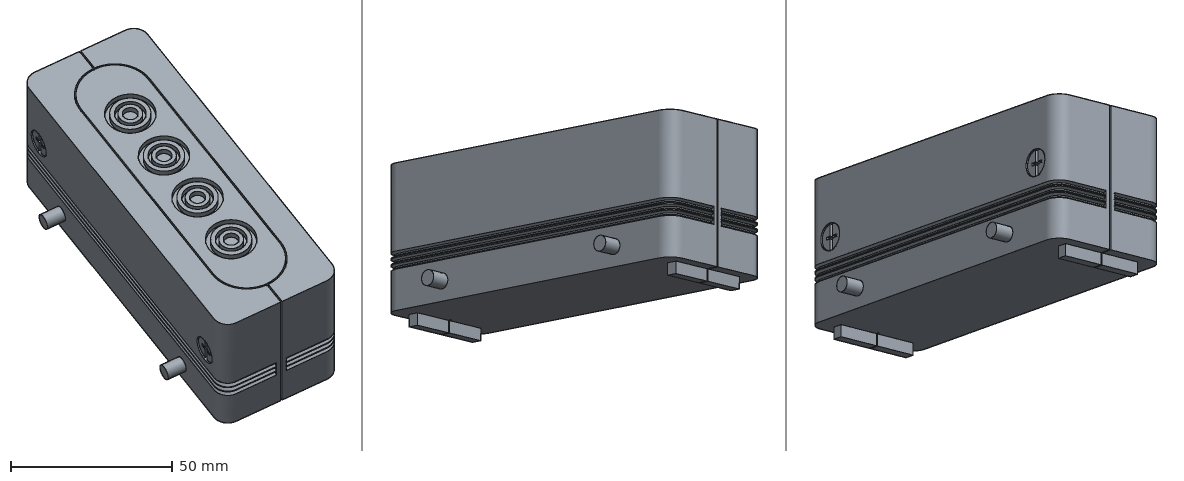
import cadquery as cq

LENGTH = 120.0
WIDTH = 43.0
HEIGHT = 47.0
CORNER_RADIUS = 5.0

TAB_LENGTH = 3.5
TAB_WIDTH = 29.3
TAB_HEIGHT = 4.0
TAB_END_INSET = 4.2

PEG_DIAMETER = 5.0
PEG_SPAN = 56.0
PEG_X = 36.0
PEG_Z = 6.5

SEAM_WIDTH = 0.5
SEAM_DEPTH = 8.4

GROOVE_COUNT = 3
GROOVE_PITCH = 2.0
GROOVE_MOUTH = 1.7
GROOVE_FLOOR = 0.5
GROOVE_DEPTH = 1.0
GROOVE_BAND_MIDDLE_Z = 16.1
GROOVE_END_Y = 1.8

INSERT_LENGTH = 102.6
INSERT_WIDTH = 24.1
INSERT_DEPTH = 7.2
INSERT_GAP = 0.5

ENTRY_COUNT = 4
ENTRY_PITCH = 20.0
OUTER_RING_DIAMETERS = (16.0, 12.8)
INNER_RING_DIAMETERS = (9.8, 7.7)
RING_DEPTH = 1.9
ENTRY_HOLE_DIAMETER = 4.9
ENTRY_HOLE_DEPTH = RING_DEPTH

SCREW_X = 49.5
SCREW_Z = 26.5
SCREW_HEAD_DIAMETER = 8.8
SCREW_HOLE_DIAMETER = 9.0
SCREW_HEAD_HEIGHT = 3.6
SCREW_RECESS = 0.5
SLOT_WIDTH = 1.1
CROSS_SLOT_LENGTH = 4.7
CROSS_SLOT_WIDTH = 0.8
SLOT_DEPTH = 1.0

FRONT_Y = -WIDTH / 2
ALIGN_BOTTOM = (True, True, False)


def rounded_block(inset, bottom_z, height):
    """Slab with the housing outline, its sides moved inwards by `inset`."""
    return (
        cq.Workplane("XY", origin=(0, 0, bottom_z))
        .rect(LENGTH - 2 * inset, WIDTH - 2 * inset)
        .extrude(height)
        .edges("|Z")
        .fillet(CORNER_RADIUS - inset)
    )


def tapered_core(first, second):
    """Loft between two outlines, each given as (inset, z)."""
    sketches = []
    for inset, z in (first, second):
        outline = cq.Sketch().rect(LENGTH - 2 * inset, WIDTH - 2 * inset)
        outline = outline.vertices().fillet(CORNER_RADIUS - inset)
        sketches.append(outline.moved(cq.Location(cq.Vector(0, 0, z))))
    return cq.Workplane("XY").placeSketch(*sketches).loft()


def groove_ring(middle_z):
    """Trapezoidal ring of material to remove for one groove."""
    mouth_bottom = middle_z - GROOVE_MOUTH / 2
    floor_bottom = middle_z - GROOVE_FLOOR / 2
    floor_top = middle_z + GROOVE_FLOOR / 2
    mouth_top = middle_z + GROOVE_MOUTH / 2
    core = (
        rounded_block(GROOVE_DEPTH, floor_bottom, GROOVE_FLOOR)
        .union(tapered_core((0, mouth_bottom), (GROOVE_DEPTH, floor_bottom)))
        .union(tapered_core((GROOVE_DEPTH, floor_top), (0, mouth_top)))
    )
    bridge = (
        cq.Workplane("XY", origin=(0, 0, middle_z))
        .box(LENGTH, 2 * GROOVE_END_Y, GROOVE_MOUTH)
    )
    return rounded_block(0, mouth_bottom, GROOVE_MOUTH).cut(core).cut(bridge)


def oval_block(gap):
    """Oval plug that ends at the top of the housing, widened all round by `gap`."""
    return (
        cq.Workplane("XY", origin=(0, 0, HEIGHT - INSERT_DEPTH))
        .slot2D(INSERT_LENGTH + 2 * gap, INSERT_WIDTH + 2 * gap)
        .extrude(INSERT_DEPTH)
    )


def screw_cylinder(x, diameter, start_y, depth):
    """Cylinder at a screw position, running from `start_y` into the housing."""
    return (
        cq.Workplane("XZ", origin=(x, start_y, SCREW_Z))
        .circle(diameter / 2)
        .extrude(-depth)
    )


def cut_seam(body):
    """Slit the middle plane on the top and on both ends, tabs included."""
    top_slit = (
        cq.Workplane("XY", origin=(0, 0, HEIGHT - SEAM_DEPTH))
        .box(LENGTH, SEAM_WIDTH, SEAM_DEPTH, centered=ALIGN_BOTTOM)
    )
    body = body.cut(top_slit)
    for side in (-1, 1):
        end_slit = (
            cq.Workplane("XY", origin=(side * (LENGTH - SEAM_DEPTH) / 2, 0, -TAB_HEIGHT))
            .box(SEAM_DEPTH, SEAM_WIDTH, TAB_HEIGHT + HEIGHT, centered=ALIGN_BOTTOM)
        )
        body = body.cut(end_slit)
    return body


def make_housing():
    body = rounded_block(0, 0, HEIGHT)
    tab_x = LENGTH / 2 - TAB_END_INSET - TAB_LENGTH / 2
    tabs = (
        cq.Workplane("XY")
        .pushPoints([(-tab_x, 0), (tab_x, 0)])
        .rect(TAB_LENGTH, TAB_WIDTH)
        .extrude(-TAB_HEIGHT)
    )
    pegs = (
        cq.Workplane("XZ")
        .pushPoints([(-PEG_X, PEG_Z), (PEG_X, PEG_Z)])
        .circle(PEG_DIAMETER / 2)
        .extrude(PEG_SPAN / 2, both=True)
    )
    body = body.union(tabs).union(pegs)
    for index in range(GROOVE_COUNT):
        offset = index - (GROOVE_COUNT - 1) / 2
        body = body.cut(groove_ring(GROOVE_BAND_MIDDLE_Z + offset * GROOVE_PITCH))
    body = cut_seam(body)
    body = body.cut(oval_block(INSERT_GAP))
    for x in (-SCREW_X, SCREW_X):
        hole = screw_cylinder(x, SCREW_HOLE_DIAMETER, FRONT_Y, SCREW_RECESS + SCREW_HEAD_HEIGHT)
        body = body.cut(hole)
    return body


def make_insert():
    body = oval_block(0)
    top = cq.Workplane("XY", origin=(0, 0, HEIGHT))
    entries = top.rarray(ENTRY_PITCH, 1.2, ENTRY_COUNT, 1)
    for outer, inner in (OUTER_RING_DIAMETERS, INNER_RING_DIAMETERS):
        body = body.cut(entries.circle(outer / 2).circle(inner / 2).extrude(-RING_DEPTH))
    return body.cut(entries.circle(ENTRY_HOLE_DIAMETER / 2).extrude(-ENTRY_HOLE_DEPTH))


def make_screw(x):
    face_y = FRONT_Y + SCREW_RECESS
    head = screw_cylinder(x, SCREW_HEAD_DIAMETER, face_y, SCREW_HEAD_HEIGHT)
    face = cq.Workplane("XZ", origin=(x, face_y, SCREW_Z))
    slot = face.rect(SLOT_WIDTH, SCREW_HEAD_DIAMETER).extrude(-SLOT_DEPTH)
    cross_slot = face.rect(CROSS_SLOT_LENGTH, CROSS_SLOT_WIDTH).extrude(-SLOT_DEPTH)
    return head.cut(slot).cut(cross_slot)


housing = make_housing()
insert = make_insert()
screws = [make_screw(x) for x in (-SCREW_X, SCREW_X)]

result = cq.Compound.makeCompound([housing.val(), insert.val(), *[screw.val() for screw in screws]])